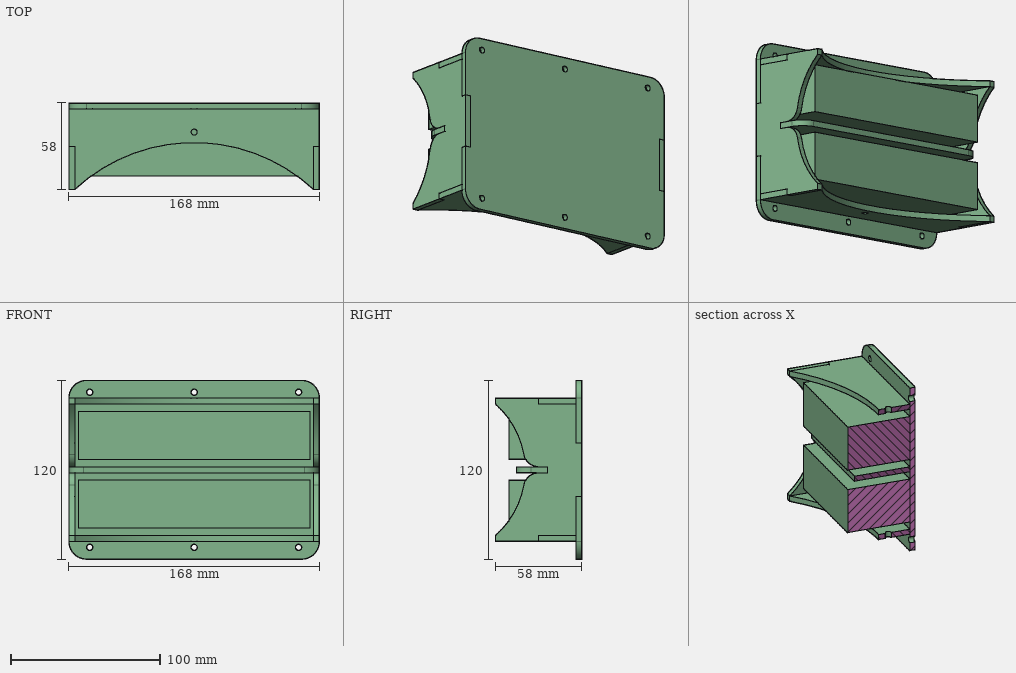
import cadquery as cq
import math


sheet = 4.0
width = 168.0
cabinet_height = 96.0
cabinet_depth = 54.0
half_width = width / 2
half_height = cabinet_height / 2
inner_half_width = half_width - sheet
inner_half_height = half_height - sheet

flange_height = 12.0
plate_height = cabinet_height + 2 * flange_height
plate_corner_radius = flange_height
hole_diameter = 4.0
mount_hole_spacing = 70.0
mount_hole_z = 52.0
side_tab_height = 36.0

half_lap_depth = (cabinet_depth - sheet) / 2
horizontal_arc_depth = 22.5
panel_hole_depth = 15.5

side_arc_depth = 34.0
slot_corner_radius = 10.0

shelf_depth = 40.0
shelf_ear_start = 19.0
shelf_corner_radius = 10.0

block_width = 155.0
block_height = 32.0
block_depth = 45.0
bay_center_z = (sheet / 2 + inner_half_height) / 2


def box_between(x_range, y_range, z_range):
    """Axis-aligned box spanning the three ranges."""
    lengths = [high - low for low, high in (x_range, y_range, z_range)]
    corner = (x_range[0], y_range[0], z_range[0])
    return cq.Workplane("XY").box(*lengths, centered=False).translate(corner)


def make_wall_plate():
    plate = (
        cq.Workplane("XY")
        .box(width, sheet, plate_height)
        .translate((0, sheet / 2, 0))
        .edges("|Y")
        .fillet(plate_corner_radius)
    )
    hole_centers = [
        (column * mount_hole_spacing, row * mount_hole_z)
        for column in (-1, 0, 1)
        for row in (-1, 1)
    ]
    holes = (
        cq.Workplane("XZ")
        .pushPoints(hole_centers)
        .circle(hole_diameter / 2)
        .extrude(-sheet)
    )
    plate = plate.cut(holes)
    tab_z_range = (-side_tab_height / 2, side_tab_height / 2)
    for x_range in ((-half_width, -inner_half_width), (inner_half_width, half_width)):
        plate = plate.cut(box_between(x_range, (0, sheet), tab_z_range))
    return plate


def make_horizontal_panel(bottom_z):
    """Top or bottom panel: wide at the back, with an arc across the whole front edge."""
    return (
        cq.Workplane("XY", origin=(0, 0, bottom_z))
        .moveTo(-half_width, 0)
        .lineTo(half_width, 0)
        .lineTo(half_width, -half_lap_depth)
        .lineTo(inner_half_width, -half_lap_depth)
        .lineTo(inner_half_width, -cabinet_depth)
        .threePointArc((0, -horizontal_arc_depth), (-inner_half_width, -cabinet_depth))
        .lineTo(-inner_half_width, -half_lap_depth)
        .lineTo(-half_width, -half_lap_depth)
        .close()
        .moveTo(0, -panel_hole_depth)
        .circle(hole_diameter / 2)
        .extrude(sheet)
    )


def make_side_panel(left_x):
    """Side panel with a plate tab, an arced front edge and a round-mouthed slot for the shelf."""
    arc_rise = cabinet_depth - side_arc_depth
    arc_radius = (inner_half_height**2 + arc_rise**2) / (2 * arc_rise)
    arc_center_y = -(side_arc_depth + arc_radius)

    slot_half = sheet / 2
    round_z = slot_half + slot_corner_radius
    round_angle = math.asin(round_z / (arc_radius + slot_corner_radius))
    round_y = arc_center_y + (arc_radius + slot_corner_radius) * math.cos(round_angle)

    def on_front_arc(angle):
        return (arc_center_y + arc_radius * math.cos(angle), arc_radius * math.sin(angle))

    def on_mouth_round(angle):
        return (
            round_y - slot_corner_radius * math.cos(angle),
            round_z - slot_corner_radius * math.sin(angle),
        )

    tip_angle = math.asin(inner_half_height / arc_radius)
    arc_middle = on_front_arc((round_angle + tip_angle) / 2)
    arc_end = on_front_arc(round_angle)
    round_middle = on_mouth_round((math.pi / 2 - round_angle) / 2)

    def mirrored(point):
        return (point[0], -point[1])

    tip = (-cabinet_depth, inner_half_height)
    slot_mouth = (round_y, slot_half)
    slot_end = (-shelf_ear_start, slot_half)
    tab_half = side_tab_height / 2
    return (
        cq.Workplane("YZ", origin=(left_x, 0, 0))
        .moveTo(sheet, -tab_half)
        .lineTo(sheet, tab_half)
        .lineTo(0, tab_half)
        .lineTo(0, inner_half_height)
        .lineTo(-half_lap_depth, inner_half_height)
        .lineTo(-half_lap_depth, half_height)
        .lineTo(-cabinet_depth, half_height)
        .lineTo(*tip)
        .threePointArc(arc_middle, arc_end)
        .threePointArc(round_middle, slot_mouth)
        .lineTo(*slot_end)
        .lineTo(*mirrored(slot_end))
        .lineTo(*mirrored(slot_mouth))
        .threePointArc(mirrored(round_middle), mirrored(arc_end))
        .threePointArc(mirrored(arc_middle), mirrored(tip))
        .lineTo(-cabinet_depth, -half_height)
        .lineTo(-half_lap_depth, -half_height)
        .lineTo(-half_lap_depth, -inner_half_height)
        .lineTo(0, -inner_half_height)
        .lineTo(0, -tab_half)
        .close()
        .extrude(sheet)
    )


def make_shelf():
    """Middle shelf whose front ears fill the side panel slots."""
    z_range = (-sheet / 2, sheet / 2)
    ears = box_between((-half_width, half_width), (-shelf_depth, -shelf_ear_start), z_range)
    ears = ears.edges("|Z and <Y").fillet(shelf_corner_radius)
    web = box_between((-inner_half_width, inner_half_width), (-shelf_ear_start, 0), z_range)
    return ears.union(web)


def make_block(center_z):
    """Solid block standing on the wall plate in the middle of a bay."""
    return cq.Workplane("XY").box(block_width, block_depth, block_height).translate(
        (0, -block_depth / 2, center_z)
    )


wall_plate = make_wall_plate()
horizontal_panels = [make_horizontal_panel(z) for z in (-half_height, inner_half_height)]
side_panels = [make_side_panel(x) for x in (-half_width, inner_half_width)]
shelf = make_shelf()
blocks = [make_block(z) for z in (-bay_center_z, bay_center_z)]

bodies = [wall_plate, *horizontal_panels, *side_panels, shelf, *blocks]
result = cq.Compound.makeCompound([body.val() for body in bodies])